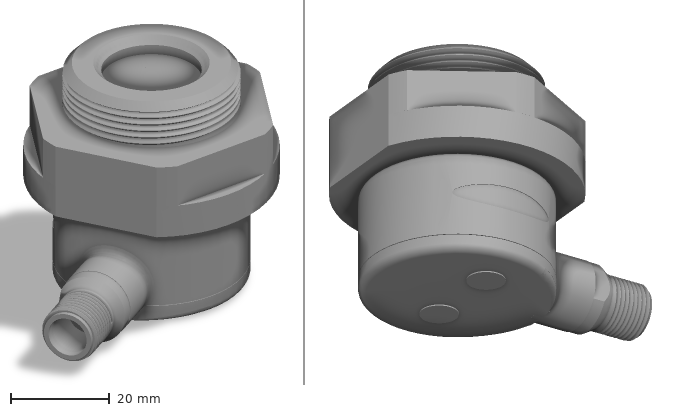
import cadquery as cq
import math


body_radius = 20.1
edge_fillet = 1.5
seam_z = 3.75
seam_gap = 0.15
seam_depth = 0.3
housing_top = 22.5
neck_radius = 10.2

boss_radius = 7.52
boss_axis_z = 7.47
boss_root = 18.0
boss_end = 28.47
boss_fillet = 1.6

fade_stations = [(60, edge_fillet), (30, 1.0), (11, 0.15)]

label_length = 23.1
label_height = 5.1
label_z = 13.2
label_depth = 0.2

nut_radius = 26.0
across_flats = 47.0
flange_bottom = 22.8
flange_top = 29.85
hex_top = 38.97
spigot_top = 48.87
spigot_radius = 18.1
spigot_chamfer = 1.95
mouth_chamfer = 1.6
face_depth = 3.7
transducer_radius = 4.83
transducer_thickness = 2.0

spigot_pitch = 1.5
spigot_thread_depth = 0.9
spigot_groove_width = 1.38
spigot_groove_start = 38.12
spigot_groove_rise = 10.05

collar_radius = 7.4
collar_flat = 6.6
collar_end = 31.15
cone_end = 33.48
plug_radius = 6.0
plug_thread_end = 42.56
pilot_radius = 5.21
plug_tip = 43.47
plug_bore_radius = 4.19
plug_bore_depth = 10.0

plug_pitch = 1.0
plug_thread_depth = 0.55
plug_groove_width = 0.85
plug_groove_start = 34.4

lens_radius = 4.0
lens_thickness = 0.25
lens_offset_x = 8.9
lens_y = -1.3

groove_overshoot = 0.04
cutter_margin = 0.2


def disc(radius, bottom, top):
    return cq.Workplane("XY").workplane(offset=bottom).circle(radius).extrude(top - bottom)


def rod(radius, start, end):
    """Cylinder along -Y on the connector axis; start and end are distances from the main axis."""
    return (
        cq.Workplane("XZ", origin=(0, -start, boss_axis_z))
        .circle(radius)
        .extrude(end - start)
    )


def helical_groove(crest_radius, depth, width, pitch, rise):
    """V-shaped right-hand groove cutter around Z that starts on +X at Z = 0."""
    root_radius = crest_radius - depth
    outer_radius = crest_radius + groove_overshoot
    half_width = width / 2 * (outer_radius - root_radius) / depth
    helix = cq.Workplane(cq.Wire.makeHelix(pitch, rise, root_radius))
    return (
        cq.Workplane("XZ")
        .moveTo(root_radius, 0)
        .lineTo(outer_radius, half_width)
        .lineTo(outer_radius, -half_width)
        .close()
        .sweep(helix, isFrenet=True)
    )


def make_boss():
    return rod(boss_radius, boss_root, boss_end)


def make_barrel_with_boss():
    """Housing barrel with the boss blended in, cut off level at the seam."""
    below = boss_axis_z - boss_radius - 2 * boss_fillet
    barrel = disc(body_radius, below, housing_top).faces(">Z").edges().fillet(edge_fillet)
    joined = barrel.union(make_boss())
    joint_half_width = boss_radius + boss_fillet
    joint = cq.selectors.BoxSelector(
        (-joint_half_width, -body_radius - boss_fillet, boss_axis_z - joint_half_width),
        (joint_half_width, -boss_root, boss_axis_z + joint_half_width),
        boundingbox=True,
    )
    joined = joined.edges(joint).edges("not %LINE").fillet(boss_fillet)
    return joined.cut(disc(2 * body_radius, below, seam_z))


def make_label_recess():
    oval = (
        cq.Workplane("YZ", origin=(-2 * body_radius, 0, label_z))
        .ellipse(label_length / 2, label_height / 2)
        .extrude(2 * body_radius)
    )
    return oval.cut(disc(body_radius - label_depth, 0, housing_top))


face_z = spigot_top - face_depth
transducer_bottom = face_z - transducer_thickness

housing = (
    make_barrel_with_boss()
    .union(make_boss())
    .cut(make_label_recess())
    .union(disc(neck_radius, housing_top, face_z))
    .cut(disc(transducer_radius, transducer_bottom, face_z))
)

transducer = disc(transducer_radius, transducer_bottom, face_z)


def corner_section(angle, radius):
    """Section of the bottom edge cutter at an angle from -Y towards +X."""
    turn = math.radians(angle)
    outward = (math.sin(turn), -math.cos(turn), 0)
    corner = (body_radius * outward[0], body_radius * outward[1], 0)
    sag = radius * (1 - math.sqrt(0.5))
    plane = cq.Plane(origin=corner, xDir=outward, normal=(-math.cos(turn), -math.sin(turn), 0))
    return (
        cq.Workplane(plane)
        .moveTo(-radius, 0)
        .threePointArc((-sag, sag), (0, radius))
        .lineTo(cutter_margin, radius)
        .lineTo(cutter_margin, -cutter_margin)
        .lineTo(-radius, -cutter_margin)
        .close()
    )


def make_bottom_edge_cutters():
    """Full fillet around the back, fading out on both sides towards the boss."""
    full_angle = fade_stations[0][0]
    back = corner_section(full_angle, edge_fillet).wires().val()
    sweep_angle = 360 - 2 * full_angle
    full = cq.Workplane(
        cq.Solid.revolve(back, [], sweep_angle, cq.Vector(0, 0, 0), cq.Vector(0, 0, 1))
    )
    sections = [corner_section(angle, radius).wires().val() for angle, radius in fade_stations]
    fade = cq.Workplane(cq.Solid.makeLoft(sections))
    return [full, fade, fade.mirror("YZ")]


cap = disc(body_radius, 0, seam_z - seam_gap).union(
    disc(body_radius - seam_depth, seam_z - seam_gap, seam_z)
)
for cutter in make_bottom_edge_cutters():
    cap = cap.cut(cutter)
cap = cap.cut(make_boss())


def make_flange():
    flats = cq.Workplane("XY").box(2 * nut_radius, across_flats, 2 * flange_top)
    return disc(nut_radius, flange_bottom, flange_top).intersect(flats)


def make_spigot():
    blank = disc(spigot_radius, hex_top - spigot_pitch, spigot_top + spigot_pitch)
    groove = helical_groove(
        spigot_radius, spigot_thread_depth, spigot_groove_width, spigot_pitch, spigot_groove_rise
    ).translate((0, 0, spigot_groove_start))
    envelope = (
        disc(spigot_radius + spigot_pitch, hex_top, spigot_top)
        .faces(">Z").edges().chamfer(spigot_chamfer + spigot_pitch)
    )
    return blank.cut(groove).intersect(envelope)


def make_hexagon():
    corner_diameter = across_flats / math.cos(math.pi / 6)
    prism = (
        cq.Workplane("XY")
        .workplane(offset=flange_top)
        .polygon(6, corner_diameter)
        .extrude(hex_top - flange_top)
    )
    return prism.intersect(disc(nut_radius, flange_top, hex_top))


def make_mouth():
    return (
        cq.Workplane("XY")
        .workplane(offset=spigot_top)
        .circle(neck_radius + mouth_chamfer)
        .workplane(offset=-mouth_chamfer)
        .circle(neck_radius)
        .loft()
    )


bore = disc(neck_radius, flange_bottom, spigot_top)
flange = make_flange().cut(bore)
adapter = make_hexagon().union(make_spigot()).cut(bore).cut(make_mouth())


def make_cone():
    return (
        cq.Workplane("XZ", origin=(0, -collar_end, boss_axis_z))
        .circle(collar_radius)
        .workplane(offset=cone_end - collar_end)
        .circle(plug_radius)
        .loft()
    )


def make_plug_thread():
    groove = (
        helical_groove(
            plug_radius,
            plug_thread_depth,
            plug_groove_width,
            plug_pitch,
            plug_thread_end + plug_pitch - plug_groove_start,
        )
        .rotate((0, 0, 0), (1, 0, 0), 90)
        .translate((0, -plug_groove_start, boss_axis_z))
    )
    blank = rod(plug_radius, cone_end, plug_thread_end + 3 * plug_pitch).cut(groove)
    return blank.intersect(rod(2 * plug_radius, cone_end, plug_thread_end))


collar = rod(collar_radius, boss_end, collar_end).union(make_cone())
flat_keep = cq.Workplane("XY").box(
    4 * collar_radius, 2 * plug_tip, 4 * boss_axis_z
).translate((2 * collar_radius - collar_flat, -plug_tip, boss_axis_z))
connector = (
    collar.intersect(flat_keep)
    .union(make_plug_thread())
    .union(rod(pilot_radius, plug_thread_end, plug_tip))
    .cut(rod(plug_bore_radius, plug_tip - plug_bore_depth, plug_tip))
)


lenses = [
    disc(lens_radius, -lens_thickness, 0).translate((side * lens_offset_x, lens_y, 0))
    for side in (-1, 1)
]

result = cq.Compound.makeCompound([
    housing.val(),
    transducer.val(),
    cap.val(),
    flange.val(),
    adapter.val(),
    connector.val(),
    *[lens.val() for lens in lenses],
])